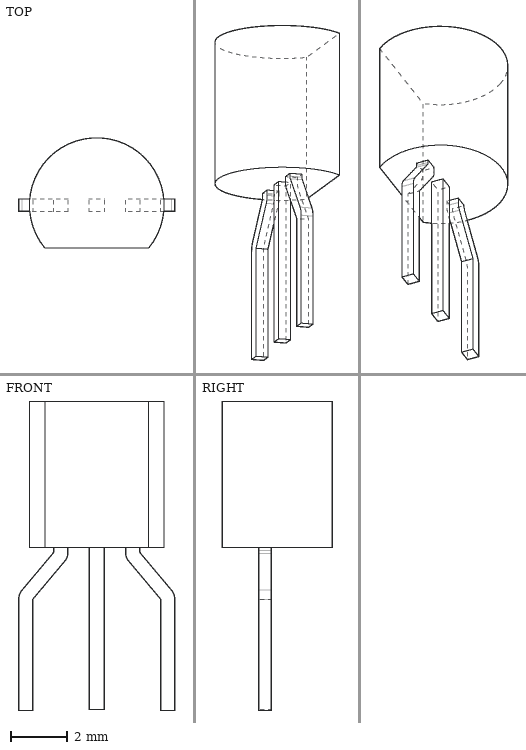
import cadquery as cq
import math

TOTAL_HEIGHT = 11.02
HOUSING_HEIGHT = 5.21
HOUSING_RADIUS = 2.4
FLAT_DISTANCE = 1.53

LEAD_THICKNESS = 0.45
LEAD_LENGTH = TOTAL_HEIGHT - HOUSING_HEIGHT
MIDDLE_LEAD_WIDTH = 0.54
MIDDLE_LEAD_SHORTFALL = 0.03

OUTER_LEAD_WIDTH = 0.51
LEAD_SPAN = 5.57
ROOT_OUTER_X = 1.53
SLANT_ANGLE = 40.0
UPPER_BEND_DEPTH = 0.17
UPPER_OUTER_RADIUS = 0.17
UPPER_INNER_RADIUS = 0.42
LOWER_OUTER_RADIUS = OUTER_LEAD_WIDTH


def make_housing():
    flat_half_width = math.sqrt(HOUSING_RADIUS**2 - FLAT_DISTANCE**2)
    return (
        cq.Workplane("XY")
        .moveTo(-flat_half_width, -FLAT_DISTANCE)
        .threePointArc((0, HOUSING_RADIUS), (flat_half_width, -FLAT_DISTANCE))
        .close()
        .extrude(HOUSING_HEIGHT)
    )


def make_middle_lead():
    length = LEAD_LENGTH - MIDDLE_LEAD_SHORTFALL
    return cq.Workplane("XY").rect(MIDDLE_LEAD_WIDTH, LEAD_THICKNESS).extrude(-length)


def make_outer_lead(side):
    """Bent lead of constant width; side is -1 for the -X lead and +1 for the +X lead."""
    slant = math.radians(SLANT_ANGLE)
    tip_outer_x = LEAD_SPAN / 2
    tip_inner_x = tip_outer_x - OUTER_LEAD_WIDTH
    root_inner_x = ROOT_OUTER_X - OUTER_LEAD_WIDTH

    corner_drop = OUTER_LEAD_WIDTH * math.tan(slant / 2)
    upper_outer_z = -UPPER_BEND_DEPTH
    lower_outer_z = upper_outer_z - (tip_outer_x - ROOT_OUTER_X) / math.tan(slant)
    upper_inner_z = upper_outer_z - corner_drop
    lower_inner_z = lower_outer_z - corner_drop

    outline = [
        (root_inner_x, 0),
        (ROOT_OUTER_X, 0),
        (ROOT_OUTER_X, upper_outer_z),
        (tip_outer_x, lower_outer_z),
        (tip_outer_x, -LEAD_LENGTH),
        (tip_inner_x, -LEAD_LENGTH),
        (tip_inner_x, lower_inner_z),
        (root_inner_x, upper_inner_z),
    ]
    rounded_corners = [
        (ROOT_OUTER_X, upper_outer_z, UPPER_OUTER_RADIUS),
        (tip_outer_x, lower_outer_z, LOWER_OUTER_RADIUS),
        (root_inner_x, upper_inner_z, UPPER_INNER_RADIUS),
    ]
    lead = (
        cq.Workplane("XZ")
        .polyline([(side * x, z) for x, z in outline])
        .close()
        .extrude(LEAD_THICKNESS / 2, both=True)
    )
    for x, z, radius in rounded_corners:
        corner_edge = cq.selectors.NearestToPointSelector((side * x, 0, z))
        lead = lead.edges("|Y").edges(corner_edge).fillet(radius)
    return lead


housing = make_housing()
middle_lead = make_middle_lead()
outer_leads = [make_outer_lead(side) for side in (-1, 1)]

result = cq.Compound.makeCompound(
    [housing.val(), middle_lead.val(), *[lead.val() for lead in outer_leads]]
)